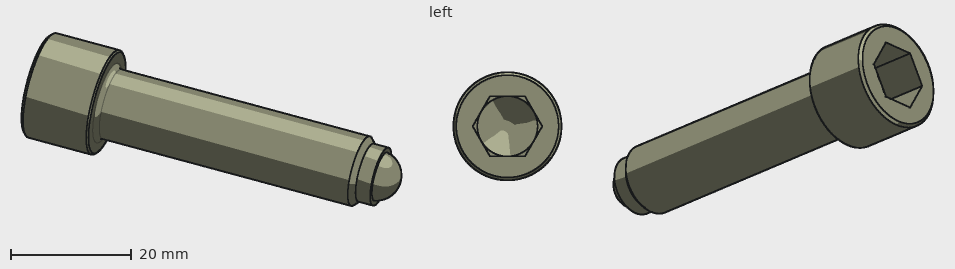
import cadquery as cq
import math


head_diameter = 18.0
head_length = 12.0
head_front_chamfer = 0.5
head_rear_chamfer = 0.3

shank_diameter = 12.0
neck_fillet = 0.85
shank_chamfer = 1.0
shank_end = 58.0

pilot_diameter = shank_diameter - 2 * shank_chamfer
pilot_end = 60.6
ball_diameter = 8.5
overall_length = 64.0

socket_across_flats = 10.0
socket_depth = 8.0
socket_cone_angle = 120.0


def make_body():
    """Revolve the head, filleted neck, shank, pilot and the exposed cap of the ball."""
    head_radius = head_diameter / 2
    shank_radius = shank_diameter / 2
    pilot_radius = pilot_diameter / 2
    ball_radius = ball_diameter / 2
    ball_center_offset = pilot_end - (overall_length - ball_radius)
    ball_edge_radius = math.sqrt(ball_radius**2 - ball_center_offset**2)
    neck_end = (head_length + neck_fillet, -shank_radius)
    profile = (
        cq.Workplane("XY")
        .moveTo(0, 0)
        .lineTo(0, -(head_radius - head_front_chamfer))
        .lineTo(head_front_chamfer, -head_radius)
        .lineTo(head_length - head_rear_chamfer, -head_radius)
        .lineTo(head_length, -(head_radius - head_rear_chamfer))
        .lineTo(head_length, -(shank_radius + neck_fillet))
        .radiusArc(neck_end, neck_fillet)
        .lineTo(shank_end - shank_chamfer, -shank_radius)
        .lineTo(shank_end, -pilot_radius)
        .lineTo(pilot_end, -pilot_radius)
        .lineTo(pilot_end, -ball_edge_radius)
        .radiusArc((overall_length, 0), -ball_radius)
        .close()
    )
    return profile.revolve(360, (0, 0), (1, 0))


def make_socket():
    """Hexagonal recess with corners on the Y axis, ending in a drill cone."""
    corner_diameter = socket_across_flats / math.cos(math.pi / 6)
    cone_radius = socket_across_flats / 2
    cone_depth = cone_radius / math.tan(math.radians(socket_cone_angle / 2))
    hexagon = cq.Workplane("YZ").polygon(6, corner_diameter).extrude(socket_depth)
    cone = cq.Solid.makeCone(
        cone_radius, 0, cone_depth, cq.Vector(socket_depth, 0, 0), cq.Vector(1, 0, 0)
    )
    return hexagon.union(cq.Workplane(cone))


result = make_body().cut(make_socket())